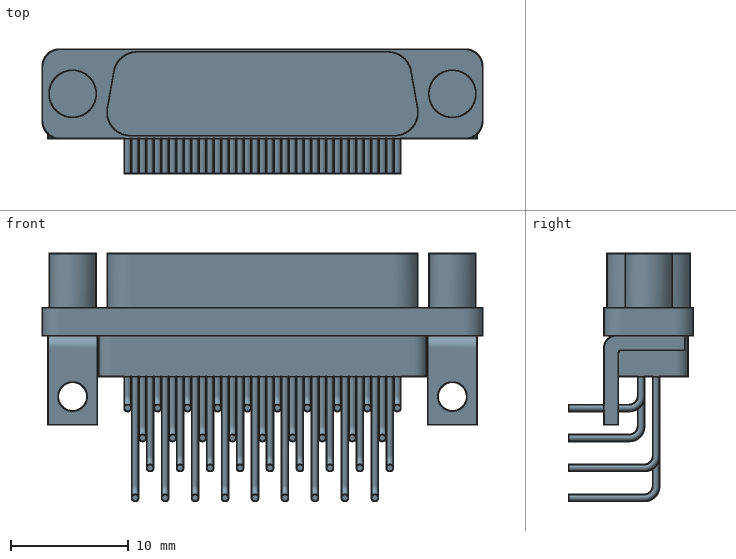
import cadquery as cq
import math


flange_width = 37.4
flange_depth = 7.6
flange_height = 2.4
flange_corner_radius = 1.5
flange_front = -flange_depth / 2

shell_depth = 7.1
shell_height = 4.6
shell_front_width = 27.15
shell_side_angle = 10.0
shell_corner_radius = 2.0

post_offset = 16.12
post_diameter = 4.0

body_width = 27.83
body_depth = 6.7
body_height = 3.48
body_corner_radius = 1.0

bracket_width = 4.2
bracket_depth = 6.9
bracket_height = 7.55
bracket_thickness = 1.25
bracket_outer_radius = 1.0
bracket_inner_radius = 0.22
bracket_hole_diameter = 2.43
bracket_hole_rise = 2.4

pin_diameter = 0.6
pin_pitch = 2.55
pin_bend_radius = 1.0
pin_projection = 3.0
pin_tip = flange_front - pin_projection
first_row_drop = 6.15
back_column = pin_pitch / 4
front_column = -pin_pitch / 4

pin_rows = [
    (10, 0.0, front_column),
    (9, 0.0, front_column),
    (9, 0.25, back_column),
    (9, -0.25, back_column),
]


def make_flange():
    plate = cq.Workplane("XY").rect(flange_width, flange_depth).extrude(flange_height)
    return plate.edges("|Z").fillet(flange_corner_radius)


def make_shell():
    side_run = shell_depth * math.tan(math.radians(shell_side_angle))
    front_half = shell_front_width / 2
    back_half = front_half - side_run
    outline = [
        (-front_half, -shell_depth / 2),
        (front_half, -shell_depth / 2),
        (back_half, shell_depth / 2),
        (-back_half, shell_depth / 2),
    ]
    shell = cq.Workplane("XY").polyline(outline).close().extrude(flange_height + shell_height)
    return shell.edges("|Z").fillet(shell_corner_radius)


def make_post(x):
    post = cq.Workplane("XY").center(x, 0).circle(post_diameter / 2)
    return post.extrude(flange_height + shell_height)


def make_body():
    body = cq.Workplane("XY").rect(body_width, body_depth).extrude(-body_height)
    return body.edges("|Z").fillet(body_corner_radius)


def make_bracket(x):
    front = flange_front
    back = front + bracket_depth
    leg_back = front + bracket_thickness
    profile = [
        (front, 0),
        (back, 0),
        (back, -bracket_thickness),
        (leg_back, -bracket_thickness),
        (leg_back, -bracket_height),
        (front, -bracket_height),
    ]
    strip = cq.Workplane("YZ").polyline(profile).close().extrude(bracket_width / 2, both=True)
    strip = strip.edges("|X and <Y and >Z").fillet(bracket_outer_radius)
    inner_corner = cq.selectors.NearestToPointSelector((0, leg_back, -bracket_thickness))
    strip = strip.edges("|X").edges(inner_corner).fillet(bracket_inner_radius)
    hole = (
        cq.Workplane("XZ", origin=(0, leg_back, bracket_hole_rise - bracket_height))
        .circle(bracket_hole_diameter / 2)
        .extrude(bracket_thickness)
    )
    return strip.cut(hole).translate((x, 0, 0))


def make_pin(leg_y, drop):
    """Round wire from inside the body, down to the given drop, then out towards -Y."""
    bend_centre = (leg_y - pin_bend_radius, pin_bend_radius - drop)
    bend_reach = pin_bend_radius * math.sqrt(0.5)
    path = (
        cq.Workplane("YZ")
        .moveTo(leg_y, 0)
        .lineTo(leg_y, bend_centre[1])
        .threePointArc(
            (bend_centre[0] + bend_reach, bend_centre[1] - bend_reach),
            (bend_centre[0], -drop),
        )
        .lineTo(pin_tip, -drop)
    )
    return cq.Workplane("XY").center(0, leg_y).circle(pin_diameter / 2).sweep(path)


result = make_flange().union(make_shell()).union(make_body())

for post_x in (-post_offset, post_offset):
    result = result.union(make_post(post_x)).union(make_bracket(post_x))

for row, (count, shift, leg_y) in enumerate(pin_rows):
    pin = make_pin(leg_y, first_row_drop + row * pin_pitch)
    for index in range(count):
        pin_x = (index - (count - 1) / 2 + shift) * pin_pitch
        result = result.union(pin.translate((pin_x, 0, 0)))